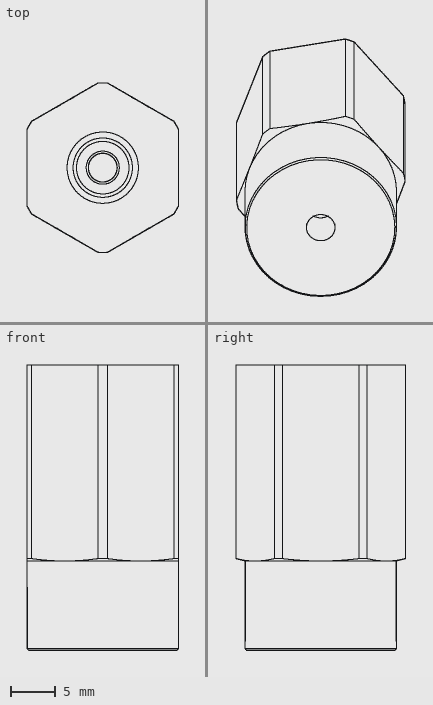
import cadquery as cq
import math

total_height = 32
across_flats = 17.0
across_corners = 19.05

shank_height = 10.0
shank_diameter = across_flats
shank_chamfer = 0.2
hex_cone_angle = 15

mouth_diameter = 8
bore_diameter = 6.65
seat_diameter = 5.9
neck_diameter = 3.7
through_diameter = 3.2
bore_depth = 19.2
seat_depth = 22.4
neck_depth = 25.6


def cylinder(diameter, bottom, top):
    return cq.Workplane("XY").workplane(offset=bottom).circle(diameter / 2).extrude(top - bottom)


def hexagonal_body():
    """Hexagon with flats facing +X and -X, turned down at its corners and beveled underneath."""
    sharp_corners = across_flats / math.cos(math.radians(30))
    hexagon = (
        cq.Workplane("XY")
        .workplane(offset=shank_height)
        .polygon(6, sharp_corners)
        .extrude(total_height - shank_height)
        .rotate((0, 0, 0), (0, 0, 1), 30)
    )
    corner_radius = across_corners / 2
    shank_radius = shank_diameter / 2
    bevel_height = (corner_radius - shank_radius) * math.tan(math.radians(hex_cone_angle))
    turned_envelope = (
        cq.Workplane("XZ")
        .moveTo(0, shank_height)
        .lineTo(shank_radius, shank_height)
        .lineTo(corner_radius, shank_height + bevel_height)
        .lineTo(corner_radius, total_height)
        .lineTo(0, total_height)
        .close()
        .revolve(360, (0, 0, 0), (0, 1, 0))
    )
    return hexagon.intersect(turned_envelope)


def shank():
    return cylinder(shank_diameter, 0, shank_height).faces("<Z").chamfer(shank_chamfer)


def stepped_bore():
    """Through hole that widens upward in steps and opens in a 45 degree countersink."""
    mouth_chamfer = (mouth_diameter - bore_diameter) / 2
    countersink = (
        cq.Workplane("XY")
        .workplane(offset=total_height)
        .circle(mouth_diameter / 2)
        .workplane(offset=-mouth_chamfer)
        .circle(bore_diameter / 2)
        .loft()
    )
    return (
        cylinder(through_diameter, 0, total_height)
        .union(cylinder(neck_diameter, total_height - neck_depth, total_height))
        .union(cylinder(seat_diameter, total_height - seat_depth, total_height))
        .union(cylinder(bore_diameter, total_height - bore_depth, total_height))
        .union(countersink)
    )


result = hexagonal_body().union(shank()).cut(stepped_bore())